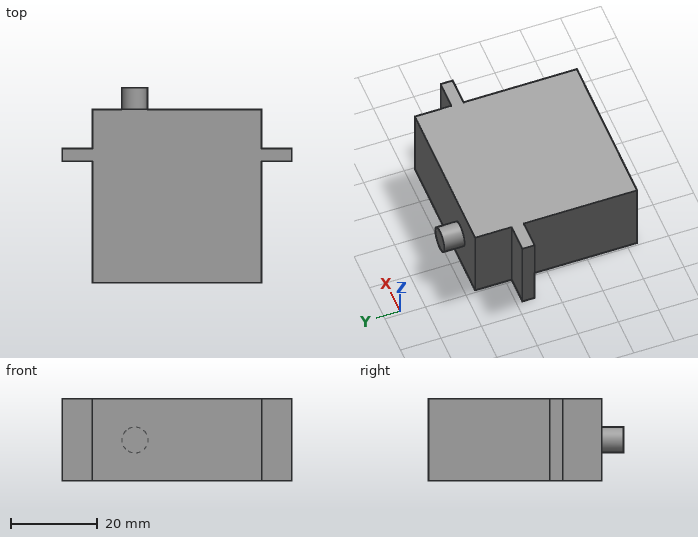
import cadquery as cq

overall_width = 53.0
body_width = 39.0
body_depth = 40.0
height = 19.0

ear_thickness = 3.0
ear_front_y = 28.0

shaft_diameter = 6.0
shaft_length = 5.0
shaft_x = -body_width / 4

body = cq.Workplane("XY").box(body_width, body_depth, height, centered=(True, False, True))

ears = (
    cq.Workplane("XY")
    .box(overall_width, ear_thickness, height, centered=(True, False, True))
    .translate((0, ear_front_y, 0))
)

shaft = cq.Workplane(
    cq.Solid.makeCylinder(
        shaft_diameter / 2,
        shaft_length,
        cq.Vector(shaft_x, body_depth, 0),
        cq.Vector(0, 1, 0),
    )
)

result = body.union(ears).union(shaft)